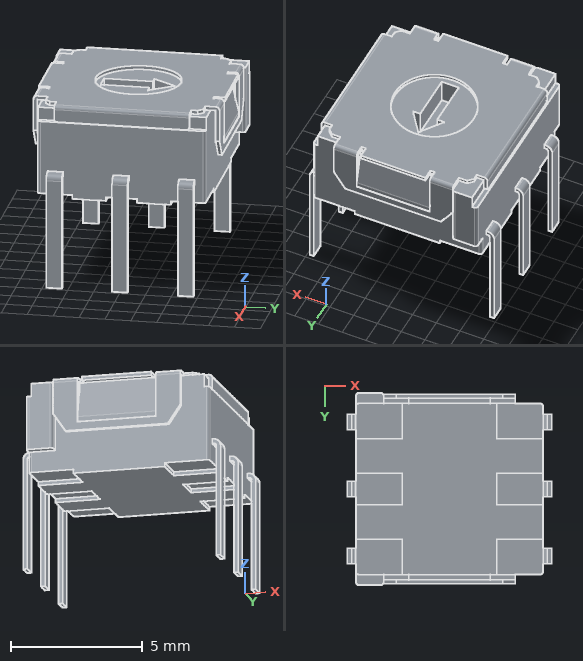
import cadquery as cq

overall_length = 7.77
shoulder_width = 7.3
overall_height = 7.2

housing_length = 7.1
housing_width = 6.495
housing_height = 3.68
shoulder_inner_x = -2.5
shoulder_drop = 2.735
corner_radius = 0.11
ledge_drop = 0.645

recess_depth = 0.15
recess_inner_x = 1.795
side_recess_half_width = 0.6
corner_recess_inner_y = 1.9

sheet = 0.15
cover_length = 6.99
cover_width = 7.195
side_tab_half_width = 2.61
side_tab_chamfer = 0.055
cutout_corner = 3.045
cutout_chamfer = 0.195
flap_half_length = 2.5
flap_bottom_half_length = 2.02
flap_drop = 2.09
flap_corner_drop = 1.38

window_half_length = 1.54
window_drop = 1.76
latch_ramp_drop = 1.555
latch_setback = 0.015
notch_inner_x = 1.36
notch_inner_y = 3.17

rotor_diameter = 3.3
arrow_tip_y = 1.41
arrow_base_y = 0.49
arrow_tail_y = -1.4
arrow_head_half_width = 0.66
arrow_shaft_half_width = 0.36
arrow_depth = 1.0

lead_pitch = 2.54
lead_width = 0.6
lead_thickness = 0.17
lead_drop = 2.62
lead_bend_radius = 0.27
lead_embed = 0.155

top_z = housing_height
roof_z = top_z - sheet
ledge_z = top_z - ledge_drop
shoulder_z = top_z - shoulder_drop
lead_tip_z = top_z - overall_height
half_length = housing_length / 2
half_width = housing_width / 2
cover_half_length = cover_length / 2
cover_half_width = cover_width / 2
upper_half_length = cover_half_length - sheet
flap_inner_y = cover_half_width - sheet
latch_root_y = half_width - corner_radius


def block(x0, x1, y0, y1, z0, z1):
    """Axis-aligned box between two opposite corners."""
    return cq.Workplane("XY").box(x1 - x0, y1 - y0, z1 - z0, centered=False).translate((x0, y0, z0))


def both_ends(shape):
    """The shape together with its mirror image across the XZ plane."""
    return shape.union(shape.mirror("XZ"))


def make_housing():
    """Base block with a wide -X end, stepped in at the top to seat the cover."""
    body = block(-half_length, half_length, -half_width, half_width, 0, roof_z)
    body = body.edges("|Z").fillet(corner_radius)
    shoulder = block(-half_length, shoulder_inner_x, -shoulder_width / 2, shoulder_width / 2,
                     shoulder_z, roof_z)
    shoulder = shoulder.edges("|Z").fillet(corner_radius)
    body = body.union(shoulder)
    for side in (-1, 1):
        inner, outer = sorted((side * upper_half_length, side * half_length))
        body = body.cut(block(inner, outer, -shoulder_width / 2, shoulder_width / 2, ledge_z, roof_z))
    return body


def make_base_recesses():
    """Shallow relief under every lead, leaving pads between them."""
    y_ranges = (
        (-half_width, -corner_recess_inner_y),
        (-side_recess_half_width, side_recess_half_width),
        (corner_recess_inner_y, half_width),
    )
    recesses = cq.Workplane("XY")
    for y0, y1 in y_ranges:
        recesses = recesses.union(block(-half_length, -recess_inner_x, y0, y1, 0, recess_depth))
        recesses = recesses.union(block(recess_inner_x, half_length, y0, y1, 0, recess_depth))
    return recesses


def make_side_tabs():
    """Cover roof and its two X sides, rounded along the bends."""
    roof = block(-cover_half_length, cover_half_length, -side_tab_half_width, side_tab_half_width,
                 ledge_z, top_z)
    roof = roof.edges("|Y and >Z").fillet(sheet)
    return roof.faces("<Z").edges("|X").chamfer(side_tab_chamfer)


def make_flap():
    """-Y edge of the roof bent down into a flap, with a latch window and two relief notches."""
    outline = [
        (-flap_half_length, top_z),
        (-flap_half_length, top_z - flap_corner_drop),
        (-flap_bottom_half_length, top_z - flap_drop),
        (flap_bottom_half_length, top_z - flap_drop),
        (flap_half_length, top_z - flap_corner_drop),
        (flap_half_length, top_z),
    ]
    flap = cq.Workplane("XZ", origin=(0, -flap_inner_y, 0)).polyline(outline).close().extrude(sheet)
    roof_edge = block(-flap_half_length, flap_half_length, -cover_half_width, -cutout_corner,
                      roof_z, top_z)
    flap = flap.union(roof_edge)
    flap = flap.faces("<Y").edges(">Z").fillet(sheet)
    window = block(-window_half_length, window_half_length, -cover_half_width, -flap_inner_y,
                   top_z - window_drop, top_z)
    lip = block(-notch_inner_x, notch_inner_x, -cover_half_width, -cutout_corner, roof_z, top_z)
    flap = flap.cut(window).union(lip)
    for x0, x1 in ((-window_half_length, -notch_inner_x), (notch_inner_x, window_half_length)):
        flap = flap.cut(block(x0, x1, -cover_half_width, -notch_inner_y, roof_z, top_z))
    return flap


def make_latch():
    """Ramp on the -Y side of the housing that snaps into the flap window."""
    latch_y = cover_half_width - latch_setback
    return (
        cq.Workplane("YZ", origin=(-window_half_length, 0, 0))
        .moveTo(-latch_root_y, roof_z)
        .lineTo(-half_width, roof_z)
        .lineTo(-latch_y, top_z - latch_ramp_drop)
        .lineTo(-latch_y, top_z - window_drop)
        .lineTo(-latch_root_y, top_z - window_drop)
        .close()
        .extrude(2 * window_half_length)
    )


def make_roof():
    """Roof sheet between the flaps, with chamfered inner corners at the cut-outs."""
    return (
        cq.Workplane("XY", origin=(0, 0, roof_z))
        .rect(2 * cutout_corner, 2 * cutout_corner)
        .extrude(sheet)
        .edges("|Z")
        .chamfer(cutout_chamfer)
    )


def make_rotor_opening():
    """Round opening through the roof and the arrow slot sunk into the rotor."""
    opening = cq.Workplane("XY", origin=(0, 0, roof_z)).circle(rotor_diameter / 2).extrude(sheet)
    arrow = (
        cq.Workplane("XY", origin=(0, 0, roof_z - arrow_depth))
        .moveTo(0, arrow_tip_y)
        .lineTo(arrow_head_half_width, arrow_base_y)
        .lineTo(arrow_shaft_half_width, arrow_base_y)
        .lineTo(arrow_shaft_half_width, arrow_tail_y)
        .lineTo(-arrow_shaft_half_width, arrow_tail_y)
        .lineTo(-arrow_shaft_half_width, arrow_base_y)
        .lineTo(-arrow_head_half_width, arrow_base_y)
        .close()
        .extrude(arrow_depth)
    )
    return opening.union(arrow)


def make_lead():
    """One +X lead: out of the housing side, bent down, straight to its tip."""
    outer_x = overall_length / 2
    inner_x = outer_x - lead_thickness
    lead_z = top_z - lead_drop
    inside_radius = lead_bend_radius - lead_thickness
    root_x = half_length - lead_embed
    bend_x = outer_x - lead_bend_radius
    bend_z = lead_z - lead_bend_radius
    return (
        cq.Workplane("XZ")
        .moveTo(root_x, lead_z)
        .lineTo(bend_x, lead_z)
        .radiusArc((outer_x, bend_z), lead_bend_radius)
        .lineTo(outer_x, lead_tip_z)
        .lineTo(inner_x, lead_tip_z)
        .lineTo(inner_x, bend_z)
        .radiusArc((bend_x, bend_z + inside_radius), -inside_radius)
        .lineTo(root_x, lead_z - lead_thickness)
        .close()
        .extrude(lead_width / 2, both=True)
    )


part = make_housing().cut(make_base_recesses())
part = part.union(make_side_tabs()).union(make_roof())
part = part.union(both_ends(make_flap())).union(both_ends(make_latch()))
part = part.cut(make_rotor_opening())

lead = make_lead()
for row in (-1, 0, 1):
    placed = lead.translate((0, row * lead_pitch, 0))
    part = part.union(placed).union(placed.mirror("YZ"))

result = part